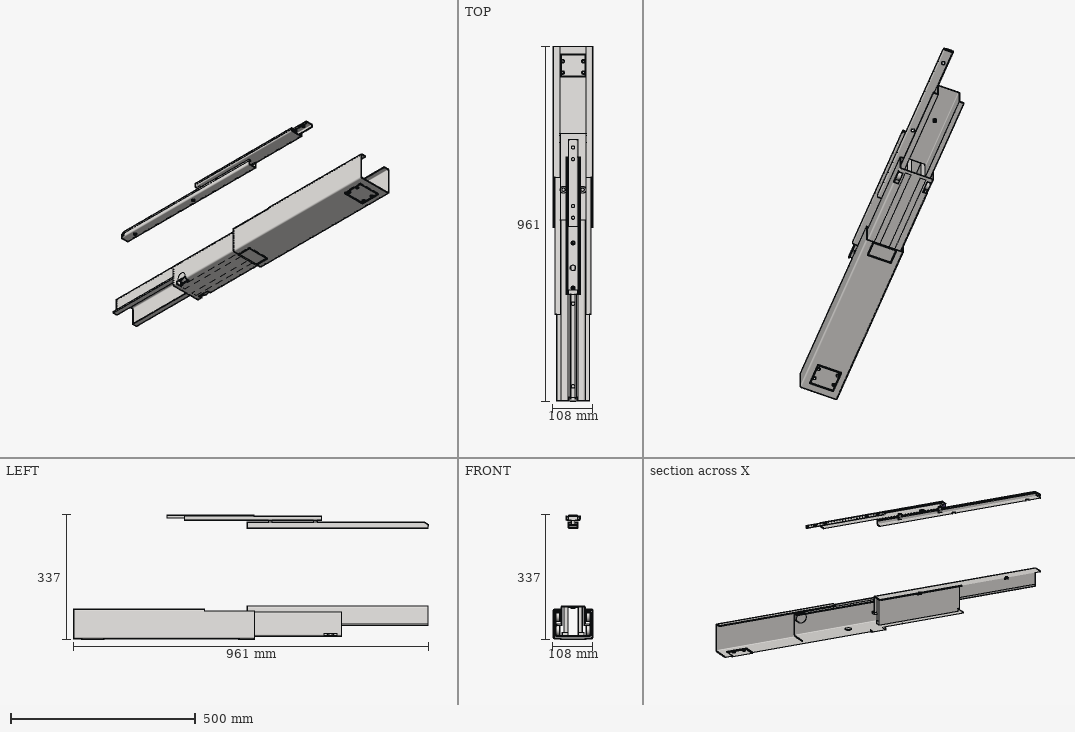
import cadquery as cq


sheet = 3.0
bend = 5.0
channel_length = 490.0

outer_width = 108.0
outer_bottom = 2.0
outer_top = 83.0
outer_mouth = 71.0
outer_front = 471.0
outer_rear = outer_front + channel_length
flange_front = 607.0
pad_width = 69.0
rear_pad = (879.0, 940.0)
front_pad = (outer_front, 514.0)
pad_slope = 3.0
pad_screw_head = 9.5
pad_screw_hole = 6.0
pad_screw_x = 28.0
pad_screw_rows = (890.0, 921.0)

middle_width = 98.0
middle_bottom = 9.0
middle_top = 75.0
middle_mouth = 69.0
middle_front = 236.0
middle_rear = middle_front + channel_length
roller_inner_x = 36.0
rear_roller_diameter = 30.0
rear_roller_y = middle_rear - rear_roller_diameter / 2
rear_roller_z = 63.0
front_roller_diameter = 26.0
front_roller_y = 265.0
relief_length = 35.0
relief_top = 16.0
screw_head_diameter = 18.0
screw_hole_diameter = 9.0
screw_x = 26.0
screw_y = 573.0

inner_width = 66.0
inner_bottom = 37.5
inner_top = 91.0
inner_bend = 6.0
inner_sheet = 3.0
inner_front = 1.0
inner_rear = inner_front + channel_length
foot_span = 89.0
foot_height = 5.0
collar_diameter = 11.0
collar_bore = 6.25
collar_bottom = 85.0
front_collar_y = 104.0
rear_collar_y = 369.0

liner_front = 240.0
liner_rear = 485.5
liner_web = 2.0
liner_leg_outer = 25.0
liner_leg_inner = 13.0
liner_foot_outer = 30.0
liner_foot_top = 19.0
liner_foot_setback = 5.0

slide_sheet = 3.0
slide_bend = 4.0
slide_lip_flare = 3.0
top_width = 26.0
top_low = 329.0
top_high = 337.0
top_front = 473.0
top_rear = 708.5
top_hole_diameter = 8.5
top_hole_rows = (497.0, 529.0, 656.0, 687.0)

carrier_width = 39.0
carrier_low = 323.0
carrier_high = 335.0
carrier_mouth = 27.0
carrier_front = 289.0
carrier_rear = 661.0
carrier_hole_diameter = 14.0
carrier_hole_y = 361.0
end_tab_width = 25.0
end_tab_length = 12.0
end_tab_top = 334.0
rivet_diameter = 11.0
rivet_rows = (307.0, 429.0)
rivet_bottom = 310.5
rivet_bore = 5.1
rivet_head_height = 1.0

rail_width = 27.0
rail_low = 301.0
rail_high = 318.0
rail_mouth = 12.0
rail_hole_diameter = 9.5
rail_hole_rows = (40.0, 264.0)
rail_bevel_length = 10.0
rail_bevel_height = 7.0
tongue_depth = 10.0
tongue_low = 308.0
tongue_high = 311.0


def block(x_range, y_range, z_range):
    """Box from its limits along the three axes, given in either order."""
    x0, x1 = sorted(x_range)
    y0, y1 = sorted(y_range)
    z0, z1 = sorted(z_range)
    return cq.Workplane("XY").box(x1 - x0, y1 - y0, z1 - z0, centered=False).translate((x0, y0, z0))


def centred_block(width, y_range, z_range):
    """Box that is symmetric about the YZ plane."""
    return block((-width / 2, width / 2), y_range, z_range)


def upright_cylinder(diameter, x, y, z_range):
    z0, z1 = sorted(z_range)
    return cq.Workplane("XY", origin=(x, y, z0)).circle(diameter / 2).extrude(z1 - z0)


def roller(diameter, side, outer_x, y, z):
    """Disc with its axis along X, from roller_inner_x out to outer_x on one side."""
    plane = cq.Workplane("YZ", origin=(side * roller_inner_x, y, z))
    return plane.circle(diameter / 2).extrude(side * (outer_x - roller_inner_x))


def countersunk_hole(head_diameter, hole_diameter, x, y, z_range):
    """Conical cutter, head_diameter wide at the top and hole_diameter at the bottom."""
    bottom, top = z_range
    small_end = cq.Workplane("XY", origin=(x, y, bottom)).circle(hole_diameter / 2)
    return small_end.workplane(offset=top - bottom).circle(head_diameter / 2).loft()


def lipped_channel(width, y_range, z_range, mouth, radius, wall, rounded="|Y", flare=0):
    """Tube along Y with a slot along its top, mouth wide below and flared upward on each side.

    rounded selects the bent corners.
    """
    bottom, top = z_range
    shell = centred_block(width, y_range, z_range).edges(rounded).fillet(radius)
    hollow = centred_block(width - 2 * wall, y_range, (bottom + wall, top - wall))
    shell = shell.cut(hollow.edges(rounded).fillet(radius - wall))
    y0, y1 = y_range
    slot = (
        cq.Workplane("XZ", origin=(0, y0, 0))
        .moveTo(-mouth / 2, top - wall)
        .lineTo(mouth / 2, top - wall)
        .lineTo(mouth / 2 + flare, top)
        .lineTo(-mouth / 2 - flare, top)
        .close()
        .extrude(y0 - y1)
    )
    return shell.cut(slot)


def inverted_channel(width, y_range, z_range, radius, wall):
    """U-channel along Y, open at the bottom, with rounded top corners."""
    bottom, top = z_range
    shell = centred_block(width, y_range, z_range).edges("|Y and >Z").fillet(radius)
    hollow = centred_block(width - 2 * wall, y_range, (bottom, top - wall))
    return shell.cut(hollow.edges("|Y and >Z").fillet(radius - wall))


def pressed_pad(body, y_range):
    """Press a rectangular pad down to Z = 0, leaving a recess with sloped walls above it."""
    y0, y1 = y_range
    floor_top = outer_bottom + sheet
    pad_length = y1 - y0
    recess_floor = outer_bottom
    recess = (
        cq.Workplane("XY", origin=(0, (y0 + y1) / 2, recess_floor))
        .rect(pad_width - 2 * pad_slope, pad_length - 2 * pad_slope)
        .workplane(offset=floor_top - recess_floor)
        .rect(pad_width, pad_length)
        .loft()
    )
    return body.union(centred_block(pad_width, y_range, (0, floor_top))).cut(recess)


def make_outer_channel():
    body = lipped_channel(
        outer_width, (outer_front, outer_rear), (outer_bottom, outer_top), outer_mouth, bend, sheet
    )
    flange_notch = centred_block(outer_width, (outer_front, flange_front), (outer_top - bend, outer_top))
    body = body.cut(flange_notch)
    for pad in (rear_pad, front_pad):
        body = pressed_pad(body, pad)
    for y in pad_screw_rows:
        for x in (-pad_screw_x, pad_screw_x):
            screw_hole = countersunk_hole(pad_screw_head, pad_screw_hole, x, y, (0, outer_bottom))
            body = body.cut(screw_hole)
    return body


def make_middle_channel():
    body = lipped_channel(
        middle_width, (middle_front, middle_rear), (middle_bottom, middle_top), middle_mouth, bend, sheet
    )
    wall_x = middle_width / 2 - sheet / 2
    floor_top = middle_bottom + sheet
    front_roller_z = inner_bottom - front_roller_diameter / 2
    relief_y = (front_roller_y - relief_length / 2, front_roller_y + relief_length / 2)
    for side in (-1, 1):
        relief_x = (side * roller_inner_x, side * middle_width / 2)
        body = body.cut(block(relief_x, relief_y, (middle_bottom, relief_top)))
        body = body.union(roller(rear_roller_diameter, side, wall_x, rear_roller_y, rear_roller_z))
        body = body.union(roller(front_roller_diameter, side, wall_x, front_roller_y, front_roller_z))
        screw_hole = countersunk_hole(
            screw_head_diameter, screw_hole_diameter, side * screw_x, screw_y, (middle_bottom, floor_top)
        )
        body = body.cut(screw_hole)
    return body


def make_inner_channel():
    y_range = (inner_front, inner_rear)
    body = inverted_channel(inner_width, y_range, (inner_bottom, inner_top), inner_bend, inner_sheet)
    for side in (-1, 1):
        foot_x = (side * (inner_width / 2 - inner_sheet), side * foot_span / 2)
        body = body.union(block(foot_x, y_range, (inner_bottom, inner_bottom + foot_height)))
    for y in (front_collar_y, rear_collar_y):
        body = body.union(upright_cylinder(collar_diameter, 0, y, (collar_bottom, inner_top)))
        body = body.cut(upright_cylinder(collar_bore, 0, y, (collar_bottom, inner_top)))
    return body


def make_liner():
    """Inverted U with feet; its web lies under the inner channel, its feet on the middle floor."""
    y_range = (liner_front, liner_rear)
    foot_y = (liner_front + liner_foot_setback, liner_rear)
    bottom = middle_bottom + sheet
    top = inner_top - inner_sheet
    body = centred_block(2 * liner_leg_outer, y_range, (top - liner_web, top))
    for side in (-1, 1):
        leg_x = (side * liner_leg_inner, side * liner_leg_outer)
        foot_x = (side * liner_leg_inner, side * liner_foot_outer)
        body = body.union(block(leg_x, y_range, (liner_foot_top, top)))
        body = body.union(block(foot_x, foot_y, (bottom, liner_foot_top)))
    return body.cut(upright_cylinder(collar_diameter, 0, rear_collar_y, (collar_bottom, top)))


def make_top_rail():
    body = inverted_channel(top_width, (top_front, top_rear), (top_low, top_high), slide_bend, slide_sheet)
    for y in top_hole_rows:
        body = body.cut(upright_cylinder(top_hole_diameter, 0, y, (top_low, top_high)))
    return body


def make_carrier_rail():
    body = lipped_channel(
        carrier_width,
        (carrier_front, carrier_rear),
        (carrier_low, carrier_high),
        carrier_mouth,
        slide_bend,
        slide_sheet,
        rounded="|Y and <Z",
        flare=slide_lip_flare,
    )
    floor_top = carrier_low + slide_sheet
    tab_y = (carrier_front, carrier_front + end_tab_length)
    body = body.union(centred_block(end_tab_width, tab_y, (carrier_low, end_tab_top)))
    body = body.cut(upright_cylinder(carrier_hole_diameter, 0, carrier_hole_y, (carrier_low, floor_top)))
    rivet_top = floor_top + rivet_head_height
    for y in rivet_rows:
        body = body.union(upright_cylinder(rivet_diameter, 0, y, (rivet_bottom, rivet_top)))
        body = body.cut(upright_cylinder(rivet_bore, 0, y, (rivet_bottom, rivet_top)))
    return body


def make_lower_rail():
    front = inner_front
    y_range = (front, front + channel_length)
    body = lipped_channel(
        rail_width,
        y_range,
        (rail_low, rail_high),
        rail_mouth,
        slide_bend,
        slide_sheet,
        rounded="|Y and <Z",
        flare=slide_lip_flare,
    )
    bevel = (
        cq.Workplane("YZ")
        .moveTo(front, rail_high)
        .lineTo(front + rail_bevel_length, rail_high)
        .lineTo(front, rail_high - rail_bevel_height)
        .close()
        .extrude(rail_width / 2, both=True)
    )
    body = body.cut(bevel)
    for y in rail_hole_rows:
        body = body.cut(upright_cylinder(rail_hole_diameter, 0, y, (rail_low, rail_low + slide_sheet)))
    tongue_width = rail_width - slide_sheet
    tongue = centred_block(tongue_width, (0, tongue_depth), (tongue_low, tongue_high))
    return body.union(tongue.edges("|Z and <Y").fillet(tongue_depth / 2))


outer_channel = make_outer_channel()
middle_channel = make_middle_channel()
inner_channel = make_inner_channel()
liner = make_liner()
top_rail = make_top_rail()
carrier_rail = make_carrier_rail()
lower_rail = make_lower_rail()

result = cq.Compound.makeCompound(
    [
        outer_channel.solids().val(),
        middle_channel.solids().val(),
        inner_channel.solids().val(),
        liner.solids().val(),
        top_rail.solids().val(),
        carrier_rail.solids().val(),
        lower_rail.solids().val(),
    ]
)